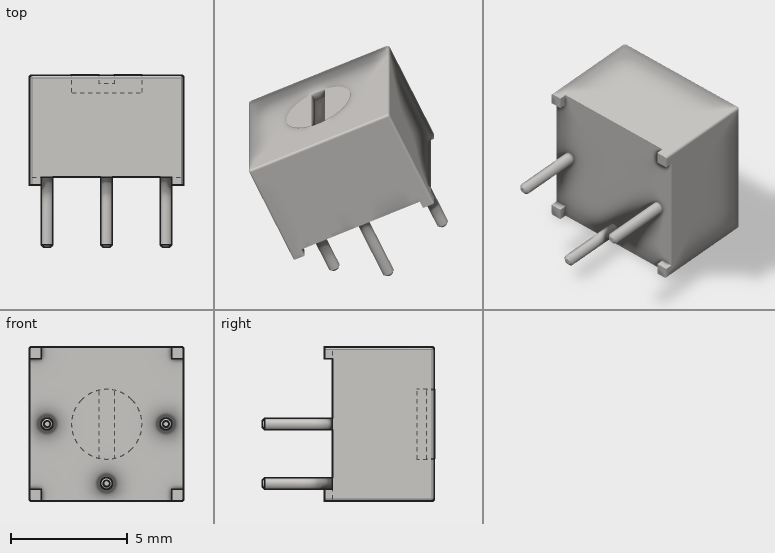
import cadquery as cq


OVERALL_DEPTH = 7.39

HOUSING_SIDE = 6.6
EDGE_RADIUS = 0.1
FOOT_SIDE = 0.52
FOOT_HEIGHT = 0.33

PIN_LENGTH = 3.0
PIN_RADIUS = 0.25
PIN_CHAMFER = 0.12
PIN_PITCH = 2.54

ROTOR_RADIUS = 1.5
ROTOR_PROTRUSION = 0.028
ROTOR_SEAT_DEPTH = 0.74
SLOT_WIDTH = 0.65
SLOT_DEPTH = 0.37

ROTOR_FACE_Y = OVERALL_DEPTH - PIN_LENGTH
HOUSING_BACK_Y = ROTOR_FACE_Y - ROTOR_PROTRUSION
ROTOR_SEAT_Y = HOUSING_BACK_Y - ROTOR_SEAT_DEPTH

PIN_CENTERS = [(-PIN_PITCH, 0), (PIN_PITCH, 0), (0, -PIN_PITCH)]


def box_between_y(width, height, y_start, y_end):
    """Box centred on the Y axis in X and Z, from y_start to y_end."""
    return cq.Workplane("XY").box(width, y_end - y_start, height).translate((0, (y_start + y_end) / 2, 0))


def cylinder_between_y(radius, y_start, y_end):
    """Cylinder on the Y axis, from y_start to y_end."""
    return cq.Workplane("XZ", origin=(0, y_end, 0)).circle(radius).extrude(y_end - y_start)


def make_case():
    """Rounded box cut back to y = 0 except for a square foot at each corner."""
    case = box_between_y(HOUSING_SIDE, HOUSING_SIDE, -FOOT_HEIGHT, HOUSING_BACK_Y)
    case = case.edges("|Y or >Y").fillet(EDGE_RADIUS)
    gap_between_feet = HOUSING_SIDE - 2 * FOOT_SIDE
    case = case.cut(box_between_y(HOUSING_SIDE, gap_between_feet, -FOOT_HEIGHT, 0))
    return case.cut(box_between_y(gap_between_feet, HOUSING_SIDE, -FOOT_HEIGHT, 0))


def make_pin(x, z):
    """Round pin with a chamfered tip, starting on the mounting face."""
    pin = cylinder_between_y(PIN_RADIUS, -PIN_LENGTH, 0)
    return pin.faces("<Y").chamfer(PIN_CHAMFER).translate((x, 0, z))


def make_housing():
    """Case with its pins and the blind round seat for the rotor."""
    housing = make_case()
    for x, z in PIN_CENTERS:
        housing = housing.union(make_pin(x, z))
    return housing.cut(cylinder_between_y(ROTOR_RADIUS, ROTOR_SEAT_Y, HOUSING_BACK_Y))


def make_rotor():
    """Disc filling the seat, with a screwdriver slot across its face."""
    rotor = cylinder_between_y(ROTOR_RADIUS, ROTOR_SEAT_Y, ROTOR_FACE_Y)
    slot = box_between_y(SLOT_WIDTH, 2 * ROTOR_RADIUS, ROTOR_FACE_Y - SLOT_DEPTH, ROTOR_FACE_Y)
    return rotor.cut(slot)


housing = make_housing()
rotor = make_rotor()

result = cq.Compound.makeCompound([housing.val(), rotor.val()])